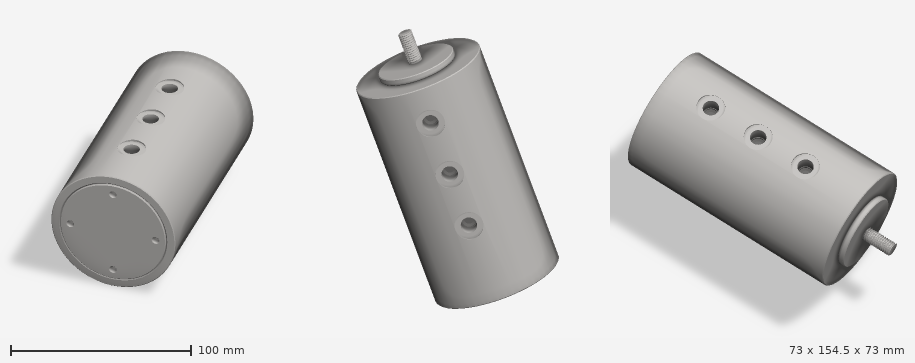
import cadquery as cq

total_length = 154.5

body_diameter = 73.0
edge_chamfer = 0.5

plate_diameter = 62.1
plate_proud = 0.5
plate_chamfer = 0.5
seat_chamfer = 0.8

plate_hole_count = 4
plate_hole_circle = 50.0
plate_hole_diameter = 4.0
plate_hole_mouth = 4.5
plate_hole_depth = 9.3

flange_diameter = 44.2
flange_thickness = 4.0
stud_diameter = 8.0
stud_length = 18.0
thread_pitch = 1.2
thread_depth = 0.6
thread_crest = 0.3
thread_root = 0.3
ridge_overlap = 0.08

port_count = 3
port_pitch = 32.0
first_port_y = 31.5
lower_row_shift = port_pitch / 2
spot_face_diameter = 16.0
spot_face_depth = 1.1
port_thread_diameter = 9.1
port_thread_depth = 8.5
port_drill_diameter = 8.2
port_drill_depth = 9.3
port_end_diameter = 5.4
port_cone_depth = 0.8

body_radius = body_diameter / 2
flange_back = total_length - stud_length
body_back = flange_back - flange_thickness


def cylinder_y(diameter, start, end):
    """Solid cylinder on the Y axis between two Y positions."""
    plane = cq.Workplane("XZ", origin=(0, start, 0))
    return plane.circle(diameter / 2).extrude(start - end)


def revolve_profile(points):
    """Solid turned about the Y axis from (radius, y) points."""
    return cq.Workplane("XY").polyline(points).close().revolve(360, (0, 0, 0), (0, 1, 0))


def make_body():
    """Cylinder with chamfered rims and a V-groove around the end plate."""
    body = cylinder_y(body_diameter, plate_proud, body_back)
    body = body.faces("<Y or >Y").edges().chamfer(edge_chamfer)
    plate = cylinder_y(plate_diameter, 0, body_back)
    plate = plate.faces("<Y").edges().chamfer(plate_chamfer)
    plate_radius = plate_diameter / 2
    seat = revolve_profile([
        (0, plate_proud),
        (plate_radius + seat_chamfer, plate_proud),
        (plate_radius, plate_proud + seat_chamfer),
        (0, plate_proud + seat_chamfer),
    ])
    return body.cut(seat).union(plate)


def make_flange():
    """Flange disc with both rims chamfered."""
    flange = cylinder_y(flange_diameter, body_back, flange_back)
    return flange.faces("<Y or >Y").edges().chamfer(edge_chamfer)


def make_stud():
    """Stud with a right-hand thread along its whole length, built upright and laid onto the Y axis."""
    crest_radius = stud_diameter / 2
    root_radius = crest_radius - thread_depth
    ridge_foot_radius = root_radius - ridge_overlap
    half_crest = thread_crest / 2
    half_foot = (thread_pitch - thread_root) / 2

    helix = cq.Wire.makeHelix(thread_pitch, stud_length + 2 * thread_pitch, root_radius)
    ridge = (
        cq.Workplane("XZ")
        .moveTo(ridge_foot_radius, -half_foot)
        .lineTo(crest_radius, -half_crest)
        .lineTo(crest_radius, half_crest)
        .lineTo(ridge_foot_radius, half_foot)
        .close()
        .sweep(cq.Workplane(obj=helix), isFrenet=True)
        .translate((0, 0, -thread_pitch))
    )
    core_length = stud_length + 4 * thread_pitch
    core = cq.Workplane("XY", origin=(0, 0, -2 * thread_pitch)).circle(root_radius).extrude(core_length)
    envelope = cq.Workplane("XY").rect(2 * stud_diameter, 2 * stud_diameter).extrude(stud_length)
    stud = core.union(ridge).intersect(envelope)
    return stud.rotate((0, 0, 0), (1, 0, 0), -90).translate((0, flange_back, 0))


def make_plate_holes():
    """Cutters for the blind holes, each with a small conical mouth."""
    hole_radius = plate_hole_diameter / 2
    mouth_radius = plate_hole_mouth / 2
    hole = revolve_profile([
        (0, 0),
        (mouth_radius, 0),
        (hole_radius, mouth_radius - hole_radius),
        (hole_radius, plate_hole_depth),
        (0, plate_hole_depth),
    ])
    hole = hole.translate((plate_hole_circle / 2, 0, 0))
    holes = cq.Workplane("XY")
    for index in range(plate_hole_count):
        angle = index * 360 / plate_hole_count
        holes = holes.add(hole.rotate((0, 0, 0), (0, 1, 0), angle))
    return holes.combine()


def make_port():
    """Cutter for one port on the Z axis, entering the cylinder from above."""
    floor = body_radius - spot_face_depth
    spot_radius = spot_face_diameter / 2
    thread_radius = port_thread_diameter / 2
    drill_radius = port_drill_diameter / 2
    thread_end = floor - port_thread_depth
    drill_end = floor - port_drill_depth
    cone_end = drill_end - port_cone_depth
    return (
        cq.Workplane("XZ")
        .polyline([
            (0, body_radius),
            (spot_radius, body_radius),
            (spot_radius, floor),
            (thread_radius, floor),
            (thread_radius, thread_end),
            (drill_radius, thread_end),
            (drill_radius, drill_end),
            (port_end_diameter / 2, cone_end),
            (0, cone_end),
        ])
        .close()
        .revolve(360, (0, 0, 0), (0, 1, 0))
    )


result = make_body().union(make_flange()).union(make_stud()).cut(make_plate_holes())

upper_port = make_port()
lower_port = upper_port.rotate((0, 0, 0), (0, 1, 0), 180)
for index in range(port_count):
    port_y = first_port_y + index * port_pitch
    result = result.cut(upper_port.translate((0, port_y, 0)))
    result = result.cut(lower_port.translate((0, port_y + lower_row_shift, 0)))